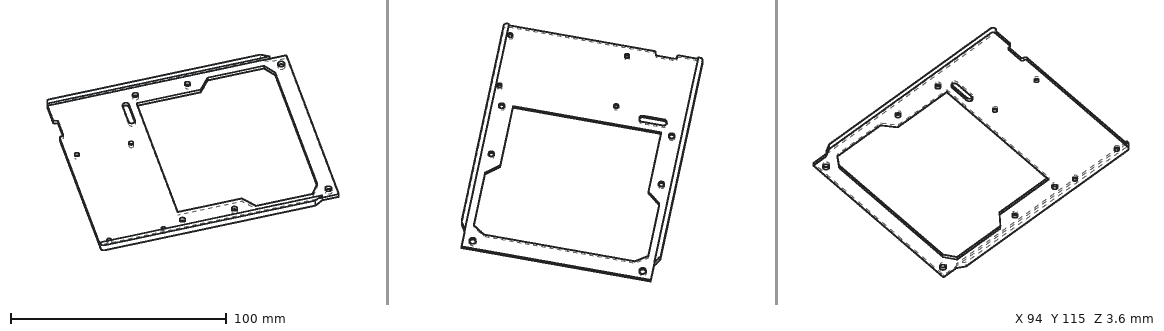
import cadquery as cq

length = 115.0
overall_width = 94.0
overall_height = 3.6
plate_thickness = 2.0

rail_width = 2.3
rail_length = 107.0
rail_taper_length = 3.9
rail_corner_radius = 1.5

opening_bottom = 40.1
opening_step_bottom = 71.0
opening_step_top = 76.0
opening_shoulder = 103.3
opening_top = 107.1
opening_half_width = 41.2
opening_lower_half_width = 35.0
opening_top_half_width = 35.6

screw_half_spacing = 40.1
corner_hole_diameter = 3.1
corner_hole_y = 111.2
side_hole_diameter = 2.6
side_hole_rows = (40.9, 66.0)
board_hole_diameter = 2.2
board_hole_columns = (-12.0, 43.1)
board_hole_rows = (4.8, 30.9)

slot_length = 13.1
slot_width = 3.1
slot_center = (-30.1, 35.0)
notch_center_x = -29.8
notch_width = 10.0
notch_depth = 2.1
notch_radius = 0.9

half_width = overall_width / 2
plate_half_width = half_width - rail_width
cut_height = overall_height


def make_rail(side):
    """Rail with a tapered far end and a rounded near corner; side is -1 or 1."""
    inner = side * plate_half_width
    outer = side * half_width
    profile = [
        (inner, 0),
        (outer, 0),
        (outer, rail_length - rail_taper_length),
        (inner, rail_length),
    ]
    rail = cq.Workplane("XY").polyline(profile).close().extrude(overall_height)
    near_corner = cq.selectors.NearestToPointSelector((outer, 0, overall_height / 2))
    return rail.edges(near_corner).fillet(rail_corner_radius)


def make_opening():
    right_side = [
        (opening_lower_half_width, opening_bottom),
        (opening_lower_half_width, opening_step_bottom),
        (opening_half_width, opening_step_top),
        (opening_half_width, opening_shoulder),
        (opening_top_half_width, opening_top),
    ]
    left_side = [(-x, y) for x, y in reversed(right_side)]
    return cq.Workplane("XY").polyline(right_side + left_side).close().extrude(cut_height)


def make_holes(columns, rows, diameter):
    centers = [(x, y) for x in columns for y in rows]
    return cq.Workplane("XY").pushPoints(centers).circle(diameter / 2).extrude(cut_height)


def make_slot():
    return cq.Workplane("XY").center(*slot_center).slot2D(slot_length, slot_width).extrude(cut_height)


def make_notch():
    """Notch cutter with rounded inner corners and flared, rounded mouth corners."""
    r = notch_radius
    left = notch_center_x - notch_width / 2
    right = notch_center_x + notch_width / 2
    return (
        cq.Workplane("XY")
        .moveTo(left - r, 0)
        .radiusArc((left, r), -r)
        .lineTo(left, notch_depth - r)
        .radiusArc((left + r, notch_depth), r)
        .lineTo(right - r, notch_depth)
        .radiusArc((right, notch_depth - r), r)
        .lineTo(right, r)
        .radiusArc((right + r, 0), -r)
        .close()
        .extrude(cut_height)
    )


result = cq.Workplane("XY").box(
    2 * plate_half_width, length, plate_thickness, centered=(True, False, False)
)
for side in (-1, 1):
    result = result.union(make_rail(side))

screw_columns = (-screw_half_spacing, screw_half_spacing)
cutters = [
    make_opening(),
    make_holes(screw_columns, (corner_hole_y,), corner_hole_diameter),
    make_holes(screw_columns, side_hole_rows, side_hole_diameter),
    make_holes(board_hole_columns, board_hole_rows, board_hole_diameter),
    make_slot(),
    make_notch(),
]
for cutter in cutters:
    result = result.cut(cutter)